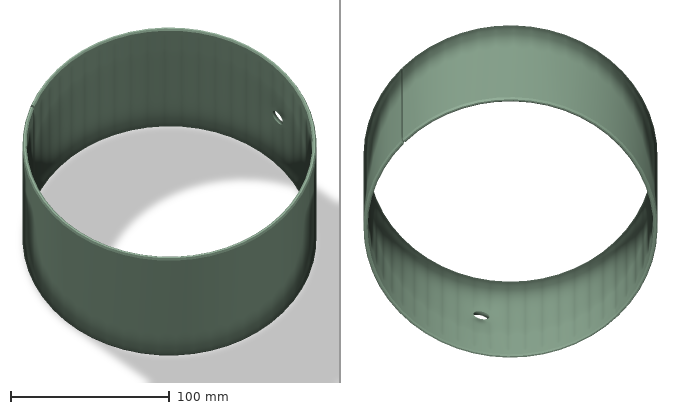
import cadquery as cq

outer_diameter = 185.0
height = 100.0
wall = 2.5
outer_radius = outer_diameter / 2
inner_radius = outer_radius - wall

outer_chamfer_depth = 0.7
outer_chamfer_height = 1.7
inner_chamfer = 1.0

slit_width = 1.5

hole_diameter = 10.0
hole_position_angle = 59.0
hole_axis_angle = 71.0


def ring():
    """Thin cylinder centred on the origin, chamfered on all four rim edges."""
    top = height / 2
    outer_chamfer_start = top - outer_chamfer_height
    inner_chamfer_start = top - inner_chamfer
    outer_rim = outer_radius - outer_chamfer_depth
    inner_rim = inner_radius + inner_chamfer
    profile = [
        (inner_rim, -top),
        (outer_rim, -top),
        (outer_radius, -outer_chamfer_start),
        (outer_radius, outer_chamfer_start),
        (outer_rim, top),
        (inner_rim, top),
        (inner_radius, inner_chamfer_start),
        (inner_radius, -inner_chamfer_start),
    ]
    return cq.Workplane("XZ").polyline(profile).close().revolve(360, (0, 0, 0), (0, 1, 0))


def slit():
    """Full-height cutter reaching from the axis out past the -X side."""
    cutter = cq.Workplane("XY").box(outer_diameter, slit_width, height, centered=(True, False, True))
    return cutter.translate((-outer_radius, 0, 0))


def side_hole():
    """Round cutter passing through the wall at the hole position only."""
    tilt = hole_axis_angle - hole_position_angle
    cutter = cq.Workplane("YZ").circle(hole_diameter / 2).extrude(hole_diameter, both=True)
    cutter = cutter.rotate((0, 0, 0), (0, 0, 1), tilt).translate((inner_radius, 0, 0))
    return cutter.rotate((0, 0, 0), (0, 0, 1), hole_position_angle)


result = ring().cut(slit()).cut(side_hole())